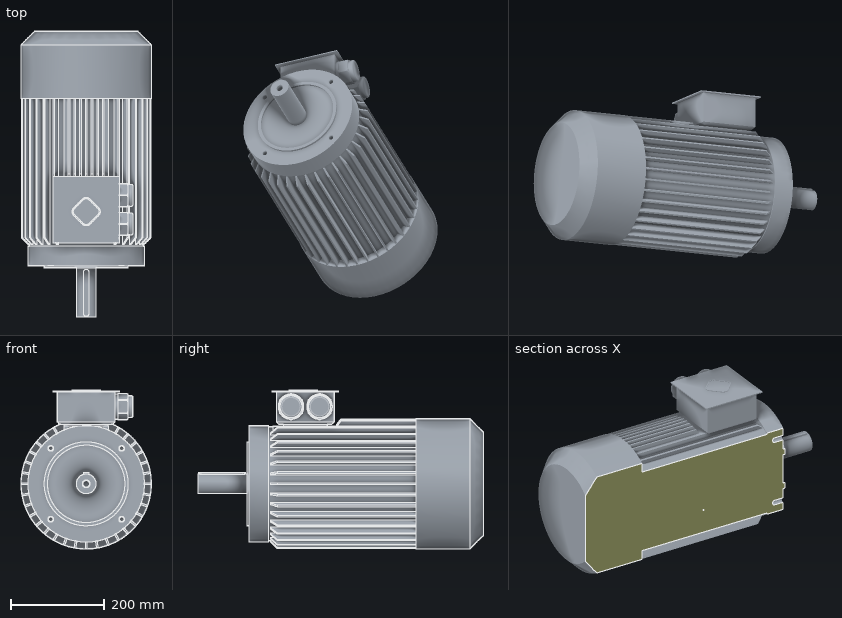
import cadquery as cq
import math


overall_length = 613.0
spigot_face_y = 105.5
flange_front_y = 110.0
flange_back_y = 152.0
fin_front_y = 156.0
cowl_front_y = 468.5

shaft_diameter = 42.0
spigot_diameter = 180.0
spigot_recess_diameter = 166.0
flange_diameter = 250.0
core_diameter = 245.0
cowl_diameter = 280.0
cowl_chamfer = 29.5

key_width = 12.0
key_start_y = 2.0
key_end_y = 102.5
key_top_z = 24.0

shaft_hole_diameter = 14.0
shaft_hole_mouth_diameter = 16.5
shaft_hole_depth = 37.0
flange_hole_diameter = 10.0
flange_hole_mouth_diameter = 12.0
flange_hole_depth = 24.5
flange_hole_offset = 76.0
drill_point_angle = 118.0

fin_thickness = 3.5
fin_tip_radius = 139.0
fin_chamfer = 15.0
fin_pitch_angle = 10
highest_fin_angle = 60
root_overlap = 6.0

saddle_width = 95.0
saddle_top_z = 124.0
saddle_front_y = 161.0
top_fin_spacing = 12.0
top_fins_per_side = 3
top_fin_front_y = 297.0
top_fin_chamfer_length = 9.0
top_fin_chamfer_height = 12.0

box_center_y = 230.5
box_side = 124.5
box_bottom_z = 127.5
box_chamfer = 5.5
neck_side = 94.5
cover_side = 143.0
cover_thickness = 2.5
cover_top_z = 199.0

badge_center_y = 226.0
badge_side = 49.5
badge_corner_radius = 11.5
badge_rim = 2.5
badge_height = 1.55
badge_recess = 0.9

gland_spacing = 61.0
gland_z = 165.5
collar_diameter = 54.5
collar_length = 6.0
hex_across_flats = 49.5
hex_corner_diameter = 56.5
hex_length = 21.5
hex_end_chamfer = 2.0
cap_diameter = 47.0
cap_length = 10.5
cap_end_radius = 3.5

core_radius = core_diameter / 2
root_radius = core_radius - root_overlap
top_fin_root_z = saddle_top_z - root_overlap
cover_bottom_z = cover_top_z - cover_thickness


def make_body():
    """Shaft, spigot ring, flange, finned core and cowl as one turned solid."""
    shaft_radius = shaft_diameter / 2
    spigot_radius = spigot_diameter / 2
    recess_radius = spigot_recess_diameter / 2
    flange_radius = flange_diameter / 2
    cowl_radius = cowl_diameter / 2
    profile = [
        (0, 0),
        (shaft_radius, 0),
        (shaft_radius, flange_front_y),
        (recess_radius, flange_front_y),
        (recess_radius, spigot_face_y),
        (spigot_radius, spigot_face_y),
        (spigot_radius, flange_front_y),
        (flange_radius, flange_front_y),
        (flange_radius, flange_back_y),
        (core_radius, flange_back_y),
        (core_radius, cowl_front_y),
        (cowl_radius, cowl_front_y),
        (cowl_radius, overall_length - cowl_chamfer),
        (cowl_radius - cowl_chamfer, overall_length),
        (0, overall_length),
    ]
    return cq.Workplane("XY").polyline(profile).close().revolve(360, (0, 0, 0), (0, 1, 0))


def make_key():
    """Round-ended shaft key, rising from the shaft axis to its top face."""
    return (
        cq.Workplane("XY")
        .center(0, (key_start_y + key_end_y) / 2)
        .slot2D(key_end_y - key_start_y, key_width, 90)
        .extrude(key_top_z)
    )


def make_drill(diameter, mouth_diameter, depth):
    """Drill shape along +Y from the origin: 45 degree mouth, straight hole, conical bottom."""
    radius = diameter / 2
    mouth_radius = mouth_diameter / 2
    point_length = radius / math.tan(math.radians(drill_point_angle / 2))
    profile = [
        (0, 0),
        (mouth_radius, 0),
        (radius, mouth_radius - radius),
        (radius, depth),
        (0, depth + point_length),
    ]
    return cq.Workplane("XY").polyline(profile).close().revolve(360, (0, 0, 0), (0, 1, 0))


def make_side_fins():
    """Radial fins around the sides and bottom, leaving the top open for the terminal box."""
    profile = [
        (root_radius, fin_front_y),
        (fin_tip_radius - fin_chamfer, fin_front_y),
        (fin_tip_radius, fin_front_y + fin_chamfer),
        (fin_tip_radius, cowl_front_y),
        (root_radius, cowl_front_y),
    ]
    fin = cq.Workplane("XY").polyline(profile).close().extrude(fin_thickness / 2, both=True)
    lowest_turn = -highest_fin_angle
    highest_turn = 180 + highest_fin_angle
    return [
        fin.rotate((0, 0, 0), (0, 1, 0), turn)
        for turn in range(lowest_turn, highest_turn + 1, fin_pitch_angle)
    ]


def make_saddle():
    """Flat-topped block on the core, running from the flange end to the cowl."""
    length = cowl_front_y - saddle_front_y
    return (
        cq.Workplane("XY")
        .box(saddle_width, length, saddle_top_z, centered=(True, False, False))
        .translate((0, saddle_front_y, 0))
    )


def make_top_fins():
    """Parallel upright fins on the saddle, each trimmed to the common fin radius."""
    fins = []
    for index in range(-top_fins_per_side, top_fins_per_side + 1):
        x = index * top_fin_spacing
        top_z = math.sqrt(fin_tip_radius**2 - x**2)
        profile = [
            (top_fin_front_y, top_fin_root_z),
            (top_fin_front_y, top_z - top_fin_chamfer_height),
            (top_fin_front_y + top_fin_chamfer_length, top_z),
            (cowl_front_y, top_z),
            (cowl_front_y, top_fin_root_z),
        ]
        fin = cq.Workplane("YZ").polyline(profile).close().extrude(fin_thickness / 2, both=True)
        fins.append(fin.translate((x, 0, 0)))
    return fins


def make_terminal_box():
    """Square box on a short neck, with an overhanging cover plate."""
    neck = cq.Workplane("XY").workplane(offset=root_radius)
    neck = neck.rect(neck_side, neck_side).extrude(box_bottom_z - root_radius)
    case = cq.Workplane("XY").workplane(offset=box_bottom_z)
    case = case.rect(box_side, box_side).extrude(cover_bottom_z - box_bottom_z)
    case = case.faces("<Z").chamfer(box_chamfer)
    cover = cq.Workplane("XY").workplane(offset=cover_bottom_z)
    cover = cover.rect(cover_side, cover_side).extrude(cover_thickness)
    return neck.union(case).union(cover).translate((0, box_center_y, 0))


def make_badge():
    """Rounded diamond plate with a raised rim."""
    plate = cq.Workplane("XY").rect(badge_side, badge_side).extrude(badge_height)
    plate = plate.edges("|Z").fillet(badge_corner_radius)
    field_side = badge_side - 2 * badge_rim
    field = cq.Workplane("XY").workplane(offset=badge_height - badge_recess)
    field = field.rect(field_side, field_side).extrude(badge_recess)
    field = field.edges("|Z").fillet(badge_corner_radius - badge_rim)
    badge = plate.cut(field).rotate((0, 0, 0), (0, 0, 1), 45)
    return badge.translate((0, badge_center_y, cover_top_z))


def make_gland():
    """Cable gland along +X from the origin: round collar, hexagon with trimmed corners, rounded cap."""
    hex_start = collar_length
    hex_end = hex_start + hex_length
    collar = cq.Workplane("YZ").circle(collar_diameter / 2).extrude(hex_start)
    hexagon = (
        cq.Workplane("YZ")
        .workplane(offset=hex_start)
        .polygon(6, hex_across_flats, circumscribed=True)
        .extrude(hex_length)
    )
    corner_trim = (
        cq.Workplane("YZ")
        .workplane(offset=hex_start)
        .circle(hex_corner_diameter / 2)
        .extrude(hex_length)
        .faces(">X")
        .chamfer(hex_end_chamfer)
    )
    cap = cq.Workplane("YZ").workplane(offset=hex_end).circle(cap_diameter / 2).extrude(cap_length)
    cap = cap.faces(">X").edges().fillet(cap_end_radius)
    return collar.union(hexagon.intersect(corner_trim)).union(cap)


result = make_body().union(make_key()).union(make_saddle())
for fin in make_side_fins() + make_top_fins():
    result = result.union(fin)
result = result.union(make_terminal_box()).union(make_badge())

gland = make_gland()
for side in (-1, 1):
    gland_y = box_center_y + side * gland_spacing / 2
    result = result.union(gland.translate((box_side / 2, gland_y, gland_z)))

result = result.cut(make_drill(shaft_hole_diameter, shaft_hole_mouth_diameter, shaft_hole_depth))
flange_drill = make_drill(flange_hole_diameter, flange_hole_mouth_diameter, flange_hole_depth)
for x in (-flange_hole_offset, flange_hole_offset):
    for z in (-flange_hole_offset, flange_hole_offset):
        result = result.cut(flange_drill.translate((x, flange_front_y, z)))